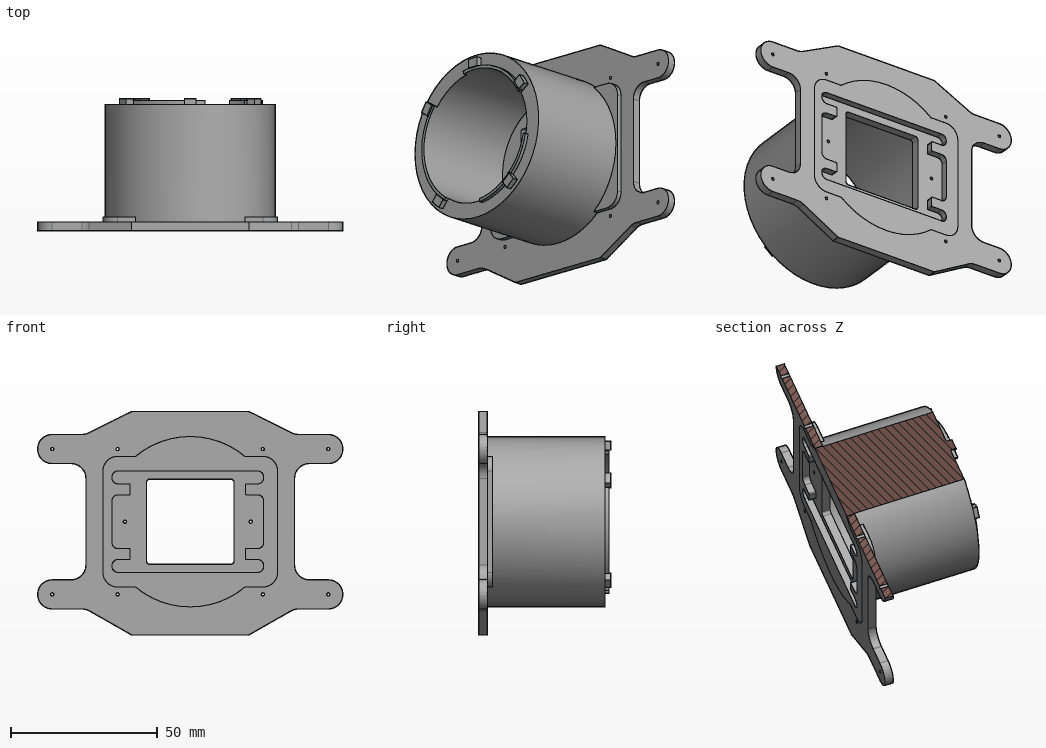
import cadquery as cq
import math


plate_thickness = 3.0
plate_top = 37.5
plate_bottom = 38.6
plate_edge_half = 20.0
waist_half = 35.6
arm_radius = 5.0
arm_hole_x = 47.0
bolt_spacing = 49.5
arm_shoulder_x = 36.9
shoulder_end_x = 34.4
shoulder_rise = 0.6
pin_hole_diameter = 1.0

tube_length = 43.0
tube_radius = 29.0
bore_radius = 23.5
flange_half_width = 29.7
flange_half_height = 22.3
flange_thickness = 4.8
flange_corner_radius = 5.0

recess_center_x = -0.8
recess_half_width = 25.8
recess_half_height = 17.3
recess_depth = 2.5
recess_corner_radius = 2.0
tab_tip_x = 19.7
tab_tip_radius = 0.4
tab_inner_z = 9.2
tab_outer_z = 12.9
floor_thickness = 3.0
window_width = 29.7
window_height = 28.9
window_corner_radius = 1.0
floor_hole_x = 21.4

rim_height = 1.4
rim_wall = 1.0
lug_height = 2.0
lug_inner = 24.3
lug_length = 3.1
lug_width = 4.1
rim_radius = bore_radius + rim_wall
rim_arcs = [(-55.5, 38), (78, 152), (191, 264)]
lug_angles = [33, 90, 147, 230.5, 309.5]

arm_z = bolt_spacing / 2
overlap = 0.5


def front_plane(y):
    """Sketch plane at depth y whose axes are X and Z; positive extrusion runs toward -Y."""
    return cq.Workplane("XZ", origin=(0, y, 0))


def prism(sketch, depth):
    """Extrude a sketch toward +Y."""
    return sketch.extrude(-depth)


def pin_holes(points, depth):
    return prism(front_plane(0).pushPoints(points).circle(pin_hole_diameter / 2), depth)


def flange_block(depth):
    block = prism(front_plane(0).rect(2 * flange_half_width, 2 * flange_half_height), depth)
    return block.edges("|Y").fillet(flange_corner_radius)


def tube_cylinder(depth):
    return prism(front_plane(0).circle(tube_radius), depth)


def plate_half(edge_z, side):
    """Upper (side = 1) or lower (side = -1) half of the plate, with its two arms."""
    arm_outer = side * (arm_z + arm_radius)
    arm_inner = side * (arm_z - arm_radius)
    shoulder_z = arm_outer + side * shoulder_rise
    fillet_end = waist_half + arm_radius
    fillet_z = arm_inner - side * arm_radius
    fillet_mid = arm_radius * (1 - math.sqrt(0.5))
    slope = math.atan2(abs(edge_z - shoulder_z), shoulder_end_x - plate_edge_half)
    bend_radius = (arm_shoulder_x - shoulder_end_x) / math.sin(slope)
    bend_x = arm_shoulder_x - bend_radius * math.sin(slope / 2)
    bend_z = arm_outer + side * bend_radius * (1 - math.cos(slope / 2))

    right = (
        front_plane(0)
        .moveTo(0, 0)
        .lineTo(waist_half, 0)
        .lineTo(waist_half, fillet_z)
        .threePointArc((waist_half + fillet_mid, arm_inner - side * fillet_mid), (fillet_end, arm_inner))
        .lineTo(arm_hole_x, arm_inner)
        .threePointArc((arm_hole_x + arm_radius, side * arm_z), (arm_hole_x, arm_outer))
        .lineTo(arm_shoulder_x, arm_outer)
        .threePointArc((bend_x, bend_z), (shoulder_end_x, shoulder_z))
        .lineTo(plate_edge_half, edge_z)
        .lineTo(0, edge_z)
        .close()
    )
    right = prism(right, plate_thickness)
    return right.union(right.mirror("YZ"))


def make_plate():
    plate = plate_half(plate_top, 1).union(plate_half(-plate_bottom, -1)).clean()
    opening = flange_block(plate_thickness).union(tube_cylinder(plate_thickness))
    hole_points = [
        (side * x, level * arm_z)
        for x in (arm_hole_x, bolt_spacing / 2)
        for side in (-1, 1)
        for level in (-1, 1)
    ]
    return plate.cut(opening).cut(pin_holes(hole_points, plate_thickness))


def front_recess():
    """Rectangular pocket minus its four tabs, centered on the tube axis."""
    recess = prism(front_plane(0).rect(2 * recess_half_width, 2 * recess_half_height), recess_depth)
    tab_length = recess_half_width - tab_tip_x
    tab_centers = [
        (side * (tab_tip_x + tab_length / 2), level * (tab_inner_z + tab_outer_z) / 2)
        for side in (-1, 1)
        for level in (-1, 1)
    ]
    tab_width = tab_outer_z - tab_inner_z
    tabs = prism(front_plane(0).pushPoints(tab_centers).rect(tab_length, tab_width), recess_depth)
    recess = recess.cut(tabs)
    wall_corners = cq.selectors.ParallelDirSelector(cq.Vector(0, 1, 0))
    tip_reach = tab_tip_x + tab_length / 2
    tip_zone = cq.selectors.BoxSelector(
        (-tip_reach, 0, -recess_half_height),
        (tip_reach, recess_depth, recess_half_height),
    )
    recess = recess.edges(wall_corners - tip_zone).fillet(recess_corner_radius)
    return recess.edges(wall_corners & tip_zone).fillet(tab_tip_radius)


def rim_segment(start, end):
    """Rim block whose inside the bore trims to the finished wall."""
    def at(radius, angle):
        turn = math.radians(angle)
        return (radius * math.cos(turn), radius * math.sin(turn))

    middle = (start + end) / 2
    sketch = (
        front_plane(tube_length - overlap)
        .moveTo(*at(bore_radius / 2, start))
        .lineTo(*at(rim_radius, start))
        .threePointArc(at(rim_radius, middle), at(rim_radius, end))
        .lineTo(*at(bore_radius / 2, end))
        .close()
    )
    return prism(sketch, rim_height + overlap)


def lug(angle):
    """Block outside the rim, turned counterclockwise from +X about the tube axis."""
    lug_center = lug_inner + lug_length / 2
    sketch = front_plane(tube_length - overlap).center(lug_center, 0).rect(lug_length, lug_width)
    return prism(sketch, lug_height + overlap).rotate((0, 0, 0), (0, -1, 0), angle)


def make_tube():
    tube = tube_cylinder(tube_length).union(flange_block(flange_thickness))
    floor_back = recess_depth + floor_thickness
    for start, end in rim_arcs:
        tube = tube.union(rim_segment(start, end))
    for angle in lug_angles:
        tube = tube.union(lug(angle))
    tube = tube.cut(prism(front_plane(floor_back).circle(bore_radius), tube_length + rim_height - floor_back))
    tube = tube.cut(front_recess().translate((recess_center_x, 0, 0)))
    window = prism(front_plane(0).rect(window_width, window_height), floor_back)
    tube = tube.cut(window.edges("|Y").fillet(window_corner_radius))
    hole_points = [(recess_center_x - floor_hole_x, 0), (recess_center_x + floor_hole_x, 0)]
    return tube.cut(pin_holes(hole_points, floor_back))


plate = make_plate()
tube = make_tube()

result = cq.Compound.makeCompound([plate.val(), tube.val()])